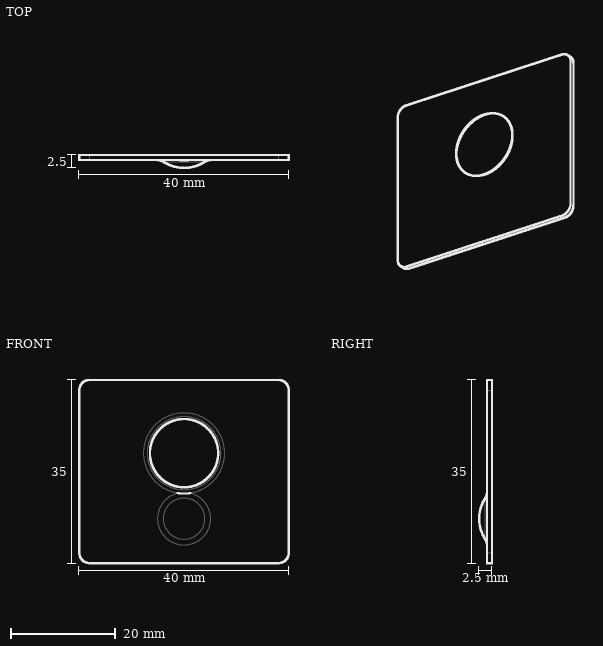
import cadquery as cq
import math

plate_width = 40.0
plate_height = 35.0
plate_thickness = 1.0
corner_radius = 2.0
front_y = -plate_thickness / 2
back_y = plate_thickness / 2

hole_z = 3.5
hole_radius = 6.5
chamfer_size = 0.8
chamfer_angle = math.radians(45)
rim_round_radius = 1.0

dome_z = -9.0
dome_height = 1.5
dome_base_radius = 4.4
dome_fillet_radius = 2.0


def revolve_about_y(profile, centre_z):
    """Revolve an XY profile about the Y axis and move it up to centre_z."""
    return profile.close().revolve(360, (0, 0, 0), (0, 1, 0)).translate((0, 0, centre_z))


def arc_point(centre_x, centre_y, radius, angle):
    """Point on a circle; the angle is measured from +Y towards +X."""
    return (centre_x + radius * math.sin(angle), centre_y + radius * math.cos(angle))


def make_plate():
    return (
        cq.Workplane("XY")
        .box(plate_width, plate_thickness, plate_height)
        .edges("|Y")
        .fillet(corner_radius)
    )


def make_dome():
    sphere_radius = (dome_base_radius**2 + dome_height**2) / (2 * dome_height)
    sphere_y = front_y - dome_height + sphere_radius
    fillet_y = front_y - dome_fillet_radius
    centre_distance = sphere_radius + dome_fillet_radius
    foot_radius = math.sqrt(centre_distance**2 - (sphere_y - fillet_y) ** 2)
    blend_angle = math.asin(foot_radius / centre_distance)
    cap_mid = arc_point(0, sphere_y, sphere_radius, math.pi - blend_angle / 2)
    cap_end = arc_point(0, sphere_y, sphere_radius, math.pi - blend_angle)
    fillet_mid = arc_point(foot_radius, fillet_y, dome_fillet_radius, -blend_angle / 2)
    profile = (
        cq.Workplane("XY")
        .moveTo(0, 0)
        .lineTo(0, front_y - dome_height)
        .threePointArc(cap_mid, cap_end)
        .threePointArc(fillet_mid, (foot_radius, front_y))
        .lineTo(foot_radius, 0)
    )
    return revolve_about_y(profile, dome_z)


def make_hole_cutter():
    sharp_rim_radius = hole_radius + chamfer_size / math.tan(chamfer_angle)
    mouth_radius = sharp_rim_radius + rim_round_radius * math.tan(chamfer_angle / 2)
    round_y = front_y + rim_round_radius
    round_start = arc_point(mouth_radius, round_y, rim_round_radius, math.pi + chamfer_angle)
    round_mid = arc_point(mouth_radius, round_y, rim_round_radius, math.pi + chamfer_angle / 2)
    cutter_front_y = front_y - dome_height
    profile = (
        cq.Workplane("XY")
        .moveTo(0, back_y)
        .lineTo(hole_radius, back_y)
        .lineTo(hole_radius, front_y + chamfer_size)
        .lineTo(*round_start)
        .threePointArc(round_mid, (mouth_radius, front_y))
        .lineTo(mouth_radius, cutter_front_y)
        .lineTo(0, cutter_front_y)
    )
    return revolve_about_y(profile, hole_z)


result = make_plate().union(make_dome()).cut(make_hole_cutter())